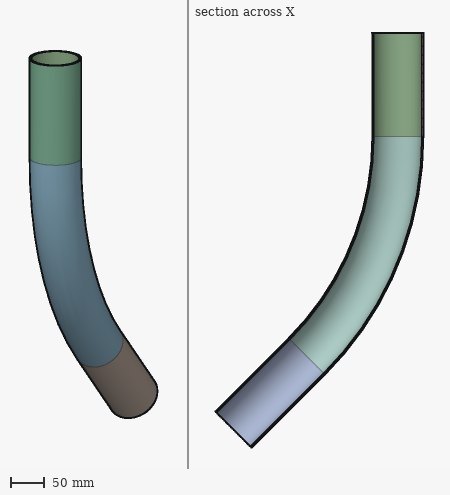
import cadquery as cq
import math

overall_height = 610.5
outer_diameter = 76.0
inner_diameter = 70.0
bend_radius = 457.0
bend_angle = 45.0

sin_bend = math.sin(math.radians(bend_angle))
cos_bend = math.cos(math.radians(bend_angle))

bend_height = bend_radius * sin_bend
rim_drop = outer_diameter / 2 * sin_bend
leg_length = (overall_height - bend_height - rim_drop) / (1 + cos_bend)


def bend_point(angle):
    """Centreline point (Y, Z) after turning by angle; the bend starts at the origin."""
    turn = math.radians(angle)
    return bend_radius * (1 - math.cos(turn)), -bend_radius * math.sin(turn)


bend_end_y, bend_end_z = bend_point(bend_angle)
lower_end = (bend_end_y + leg_length * sin_bend, bend_end_z - leg_length * cos_bend)

centreline = (
    cq.Workplane("YZ")
    .moveTo(0, leg_length)
    .lineTo(0, 0)
    .threePointArc(bend_point(bend_angle / 2), (bend_end_y, bend_end_z))
    .lineTo(*lower_end)
)

result = (
    cq.Workplane("XY", origin=(0, 0, leg_length))
    .circle(outer_diameter / 2)
    .circle(inner_diameter / 2)
    .sweep(centreline)
)